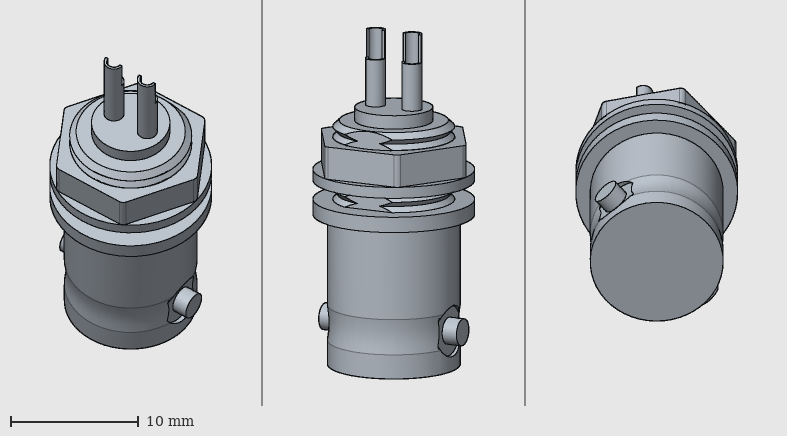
import cadquery as cq


barrel_radius = 5.22
waist_radius = 5.08
waist_bottom = 1.95
waist_top = 4.8
waist_middle = (waist_bottom + waist_top) / 2

lug_height = 3.2
lug_diameter = 2.15
lug_span = 12.17
lug_flat_diameter = 4.07
lug_flat_span = 9.65

flange_radius = 12.7 / 2
flange_bottom = 12.06
flange_top = 13.3

thread_radius = 4.8
thread_root_radius = 4.41
thread_ring_count = 7
top_crest_height = 19.15
thread_pitch = (top_crest_height - flange_top) / thread_ring_count
neck_top = 19.63
neck_top_radius = 4.28
key_flat_distance = 4.3

disc_radius = 3.08
disc_top = 20.7
contact_spacing = 3.2
contact_diameter = 1.58
contact_bore_diameter = 1.15
contact_shoulder = 24.48
contact_top = 26.75

washer_bottom = 14.82
washer_top = 15.7
nut_top = 18.3
nut_across_flats = 11.1
nut_corner_radius = 0.5


def make_turned_body():
    """Barrel with its curved waist, the flange, the thread rings and the insulator disc."""
    profile = (
        cq.Workplane("XZ")
        .moveTo(0, 0)
        .lineTo(barrel_radius, 0)
        .lineTo(barrel_radius, waist_bottom)
        .threePointArc((waist_radius, waist_middle), (barrel_radius, waist_top))
        .lineTo(barrel_radius, flange_bottom)
        .lineTo(flange_radius, flange_bottom)
        .lineTo(flange_radius, flange_top)
        .lineTo(thread_radius, flange_top)
    )
    for ring in range(thread_ring_count):
        ring_bottom = flange_top + ring * thread_pitch
        profile = profile.lineTo(thread_root_radius, ring_bottom + thread_pitch / 2)
        profile = profile.lineTo(thread_radius, ring_bottom + thread_pitch)
    profile = (
        profile.lineTo(neck_top_radius, neck_top)
        .lineTo(disc_radius, neck_top)
        .lineTo(disc_radius, disc_top)
        .lineTo(0, disc_top)
        .close()
    )
    return profile.revolve(360, (0, 0), (0, 1))


def make_key_flat_cutter():
    """Block that removes the +Y side of the thread, from the flange up to the neck top."""
    return (
        cq.Workplane("XY", origin=(0, key_flat_distance, flange_top))
        .box(2 * flange_radius, flange_radius, neck_top - flange_top, centered=(True, False, False))
    )


def make_lug_flat_cutter(side):
    """Cylinder that sinks a round flat into the barrel around the lug on one side."""
    return (
        cq.Workplane("YZ", origin=(side * lug_flat_span / 2, 0, lug_height))
        .circle(lug_flat_diameter / 2)
        .extrude(side * barrel_radius)
    )


def make_lugs():
    """One pin through the barrel whose two ends are the lugs."""
    return (
        cq.Workplane("YZ", origin=(0, 0, lug_height))
        .circle(lug_diameter / 2)
        .extrude(lug_span / 2, both=True)
    )


def make_contact(x):
    """Solder cup: a tube on the disc, with its +Y half cut away above the shoulder."""
    tube = (
        cq.Workplane("XY", origin=(x, 0, disc_top))
        .circle(contact_diameter / 2)
        .circle(contact_bore_diameter / 2)
        .extrude(contact_top - disc_top)
    )
    open_side = (
        cq.Workplane("XY", origin=(x, 0, contact_shoulder))
        .box(contact_diameter, contact_diameter, contact_top - contact_shoulder, centered=(True, False, False))
    )
    return tube.cut(open_side)


def make_housing():
    body = make_turned_body().cut(make_key_flat_cutter())
    for side in (-1, 1):
        body = body.cut(make_lug_flat_cutter(side))
    body = body.union(make_lugs())
    for side in (-1, 1):
        body = body.union(make_contact(side * contact_spacing / 2))
    return body


def make_washer():
    return (
        cq.Workplane("XY", origin=(0, 0, washer_bottom))
        .circle(flange_radius)
        .circle(thread_radius)
        .extrude(washer_top - washer_bottom)
    )


def make_nut():
    """Hexagon with two flats facing -Y and +Y, rounded corners and a bore over the thread."""
    height = nut_top - washer_top
    half_hexagon_turn = 360 / 6 / 2
    hexagon = (
        cq.Workplane("XY", origin=(0, 0, washer_top))
        .polygon(6, nut_across_flats, circumscribed=True)
        .extrude(height)
        .edges("|Z")
        .fillet(nut_corner_radius)
        .rotate((0, 0, 0), (0, 0, 1), half_hexagon_turn)
    )
    bore = cq.Workplane("XY", origin=(0, 0, washer_top)).circle(thread_radius).extrude(height)
    return hexagon.cut(bore)


housing = make_housing()
washer = make_washer()
nut = make_nut()

result = cq.Compound.makeCompound([housing.val(), washer.val(), nut.val()])